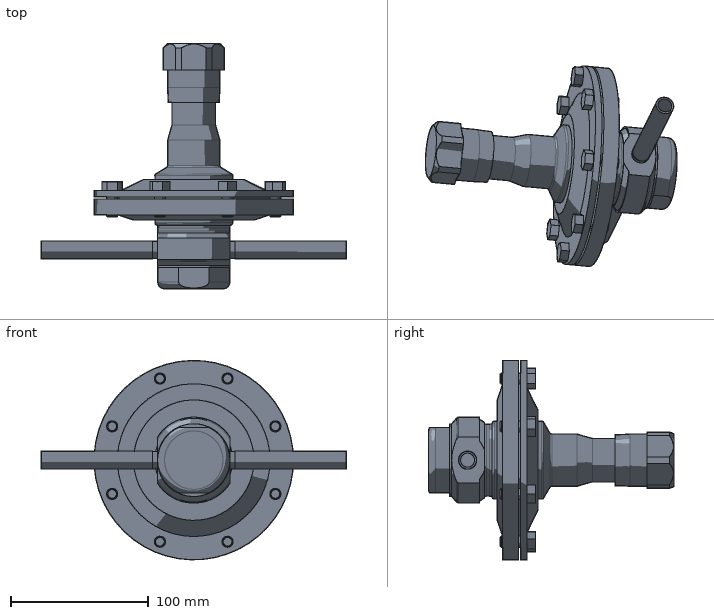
import cadquery as cq
import math

total_length = 178.18
handle_span = 221.55
flange_radius = 144.78 / 2

cap_radius = 26.2
cap_flat_half = 23.8
cap_back = 15.4
cap_fillet = 5.0

union_radius = 31.2
union_flat_half = 26.4
union_end_radius = union_flat_half
union_cone_front = 16.85
union_bevel_front = 20.2
union_bevel_back = 21.5
union_bevel_depth = 0.8
union_back = 36.9
union_shoulder_radius = 29.9
union_cone_back = 40.7
union_root_radius = 27.4

neck_radius = 26.2
neck_front = 42.05
neck_back = 44.1

ring_radius = 28.35
lower_ring_front = 46.1
lower_ring_fillet = ring_radius - union_end_radius
upper_ring_back = 83.1

cover_base_radius = 55.4
lower_cover_front = 49.85
lower_cover_face_radius = 43.7
lower_flange_front = 53.8
lower_flange_back = 65.4
upper_flange_front = 66.8
upper_flange_back = 71.6
upper_cover_back = 79.5
upper_cover_base_radius = 52.5
upper_cover_face_radius = 36.4

stem_radius = 19.05
stem_front = 88.6
stem_fillet = 1.6
waist_radius = 15.9
waist_cone_front = 107.9
waist_front = 118.9
waist_back = 135.4
sleeve_taper_back = 146.1
sleeve_lip_radius = 18.6

hex_sides = 6

nut_front = 158.7
nut_flat_half = 20.4
nut_corner_radius = 22.3
nut_chamfer = 3.3
nut_side_hollow = 1.0

bolt_count = 8
bolt_first_angle = 360 / bolt_count / 2
bolt_circle_radius = 64.1
bolt_radius = 4.0
bolt_tip_chamfer = 0.8
bolt_tip_length = 1.75
bolt_head_flats = 13.0
bolt_head_height = 6.2

handle_y = 28.35
handle_radius = 6.6
handle_bore_radius = 5.1
handle_collar_radius = 6.4
handle_collar_end = 29.8


def disc(radius, front, back):
    """Cylinder along Y between two stations."""
    return cq.Workplane("XZ", origin=(0, front, 0)).circle(radius).extrude(front - back)


def hex_prism(across_flats, front, back):
    """Hexagonal prism along Y with two corners on the local X direction."""
    corner_diameter = across_flats / math.cos(math.pi / hex_sides)
    return cq.Workplane("XZ", origin=(0, front, 0)).polygon(hex_sides, corner_diameter).extrude(front - back)


def revolve_profile(points):
    """Revolve a polyline of (radius, y) points, closed along the Y axis."""
    closed = [(0, points[0][1])] + points + [(0, points[-1][1])]
    return cq.Workplane("XY").polyline(closed).close().revolve(360, (0, 0, 0), (0, 1, 0))


def make_cap():
    cap = disc(cap_radius, 0, cap_back)
    cap = cap.faces("<Y").edges().fillet(cap_fillet)
    flat_cut_height = cap_radius - cap_flat_half
    for side in (1, -1):
        cut_center = (0, cap_back / 2, side * (cap_flat_half + flat_cut_height / 2))
        cap = cap.cut(cq.Workplane("XY", origin=cut_center).box(2 * cap_radius, cap_back, flat_cut_height))
    return cap


def make_union():
    drum = revolve_profile([
        (union_end_radius, cap_back),
        (union_end_radius, union_cone_front),
        (union_radius - union_bevel_depth, union_bevel_front),
        (union_radius, union_bevel_back),
        (union_radius, union_back),
        (union_shoulder_radius, union_back),
        (union_root_radius, union_cone_back),
        (union_end_radius, union_cone_back),
        (neck_radius, neck_front),
    ])
    flats = cq.Workplane("XY").box(2 * union_flat_half, total_length, 2 * union_radius)
    return drum.intersect(flats)


def make_neck():
    neck = revolve_profile([
        (neck_radius, neck_front),
        (neck_radius, neck_back),
        (union_end_radius, lower_ring_front),
    ])
    ring = disc(ring_radius, lower_ring_front, lower_cover_front)
    ring = ring.faces("<Y").edges().fillet(lower_ring_fillet)
    return neck.union(ring)


def make_covers():
    return revolve_profile([
        (lower_cover_face_radius, lower_cover_front),
        (cover_base_radius, lower_flange_front),
        (flange_radius, lower_flange_front),
        (flange_radius, lower_flange_back),
        (cover_base_radius, lower_flange_back),
        (cover_base_radius, upper_flange_front),
        (flange_radius, upper_flange_front),
        (flange_radius, upper_flange_back),
        (upper_cover_base_radius, upper_flange_back),
        (upper_cover_face_radius, upper_cover_back),
    ])


def make_stem():
    stem = revolve_profile([
        (ring_radius, upper_cover_back),
        (ring_radius, upper_ring_back),
        (stem_radius, stem_front),
        (stem_radius, waist_cone_front),
        (waist_radius, waist_front),
        (waist_radius, waist_back),
        (sleeve_lip_radius, waist_back),
        (stem_radius, sleeve_taper_back),
        (stem_radius, nut_front),
    ])
    margin = 1.0
    for radius, y in ((ring_radius, upper_ring_back), (stem_radius, stem_front)):
        reach = radius + margin
        low_corner = (-reach, y - margin, -reach)
        high_corner = (reach, y + margin, reach)
        around_rim = cq.selectors.BoxSelector(low_corner, high_corner, boundingbox=True)
        stem = stem.edges(around_rim).edges("%CIRCLE").fillet(stem_fillet)
    return stem


def make_nut():
    nut = hex_prism(2 * nut_flat_half, nut_front, total_length)
    envelope = disc(nut_corner_radius, nut_front, total_length)
    envelope = envelope.faces(">Y").edges().chamfer(nut_chamfer)
    nut = nut.intersect(envelope)

    half_side_width = math.sqrt(nut_corner_radius**2 - nut_flat_half**2)
    hollow_radius = (half_side_width**2 + nut_side_hollow**2) / (2 * nut_side_hollow)
    hollow_axis = nut_flat_half - nut_side_hollow + hollow_radius
    hollow = disc(hollow_radius, nut_front, total_length).translate((0, 0, hollow_axis))
    for index in range(hex_sides):
        nut = nut.cut(hollow.rotate((0, 0, 0), (0, 1, 0), index * 360 / hex_sides))
    return nut


def make_bolts():
    shank = disc(bolt_radius, lower_flange_front - bolt_tip_length, upper_flange_back)
    shank = shank.faces("<Y").edges().chamfer(bolt_tip_chamfer)
    head = hex_prism(bolt_head_flats, upper_flange_back, upper_flange_back + bolt_head_height)
    head = head.rotate((0, 0, 0), (0, 1, 0), -bolt_first_angle)
    bolt = shank.union(head).translate((bolt_circle_radius, 0, 0))
    bolts = cq.Workplane("XY")
    for index in range(bolt_count):
        angle = bolt_first_angle + index * 360 / bolt_count
        bolts = bolts.add(bolt.rotate((0, 0, 0), (0, 1, 0), -angle))
    return bolts.combine()


def make_handle(side):
    """Tube on a short collar; side is +1 or -1 along X."""
    axis_plane = cq.Workplane("YZ", origin=(0, handle_y, 0))
    collar = axis_plane.circle(handle_collar_radius).extrude(side * handle_collar_end)
    tube_plane = cq.Workplane("YZ", origin=(side * handle_collar_end, handle_y, 0))
    tube_length = handle_span / 2 - handle_collar_end
    tube = tube_plane.circle(handle_radius).circle(handle_bore_radius).extrude(side * tube_length)
    return collar.union(tube)


result = make_covers()
for piece in (
    make_neck(),
    make_union(),
    make_cap(),
    make_stem(),
    make_nut(),
    make_bolts(),
    make_handle(1),
    make_handle(-1),
):
    result = result.union(piece)